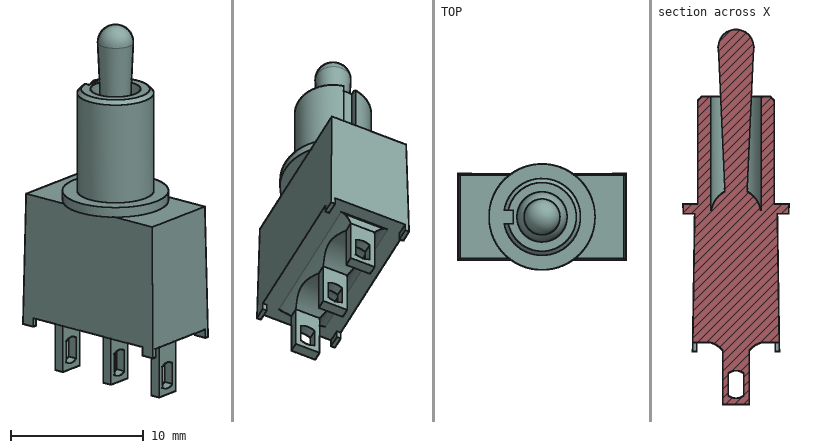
import cadquery as cq

overall_height = 28.25
foot_bottom = 3.98
floor_height = 4.65
body_top = 14.35
flange_top = 15.12
bushing_top = 23.2

body_length = 12.7
body_width = 6.55
body_top_length = 12.32
body_top_width = 6.25
foot_gap_length = 10.65
foot_gap_width = 5.88

flange_diameter = 8.0
bushing_diameter = 5.8
bushing_chamfer = 0.3
bore_diameter = 3.8
keyway_width = 1.02
keyway_floor_radius = 2.18

tip_radius = 1.35
stem_radius_at_rim = 1.2

terminal_pitch = 4.7
terminal_thickness = 0.75
terminal_width = 2.0
eyelet_width = 1.15
eyelet_length = 2.05
eyelet_end_rise = 0.2
eyelet_bottom = 0.48

resin_drop = 0.6
resin_drop_between = 0.2
resin_drop_at_end = 0.1
resin_half_width = 1.95
resin_hollow = 0.08

terminal_positions = [-terminal_pitch, 0, terminal_pitch]


def make_body():
    block = (
        cq.Workplane("XY", origin=(0, 0, foot_bottom))
        .rect(body_length, body_width)
        .workplane(offset=body_top - foot_bottom)
        .rect(body_top_length, body_top_width)
        .loft(ruled=True)
    )
    foot_height = floor_height - foot_bottom
    underside = cq.Workplane("XY", origin=(0, 0, foot_bottom))
    lengthwise_gap = underside.rect(body_length, foot_gap_width).extrude(foot_height)
    crosswise_gap = underside.rect(foot_gap_length, body_width).extrude(foot_height)
    return block.cut(lengthwise_gap).cut(crosswise_gap)


def make_bushing():
    flange = (
        cq.Workplane("XY", origin=(0, 0, body_top))
        .circle(flange_diameter / 2)
        .extrude(flange_top - body_top)
    )
    barrel = (
        cq.Workplane("XY", origin=(0, 0, flange_top))
        .circle(bushing_diameter / 2)
        .extrude(bushing_top - flange_top)
        .faces(">Z")
        .chamfer(bushing_chamfer)
    )
    keyway = (
        cq.Workplane("XY", origin=(-keyway_floor_radius, 0, flange_top))
        .rect(bushing_diameter, keyway_width)
        .extrude(bushing_top - flange_top)
        .translate((-bushing_diameter / 2, 0, 0))
    )
    bore = (
        cq.Workplane("XY", origin=(0, 0, body_top))
        .circle(bore_diameter / 2)
        .extrude(bushing_top - body_top)
    )
    return flange.union(barrel.cut(keyway)).cut(bore)


def make_lever():
    tip_center = overall_height - tip_radius
    taper = (tip_radius - stem_radius_at_rim) / (tip_center - bushing_top)
    stem_foot_radius = tip_radius - taper * (tip_center - body_top)
    stem = (
        cq.Workplane("XZ")
        .moveTo(0, body_top)
        .lineTo(stem_foot_radius, body_top)
        .lineTo(tip_radius, tip_center)
        .radiusArc((0, overall_height), -tip_radius)
        .close()
        .revolve(360, (0, 0), (0, 1))
    )
    dome_radius = bore_diameter / 2
    pivot_dome = (
        cq.Workplane("XZ")
        .moveTo(0, body_top)
        .lineTo(dome_radius, body_top)
        .radiusArc((0, body_top + dome_radius), -dome_radius)
        .close()
        .revolve(360, (0, 0), (0, 1))
    )
    return stem.union(pivot_dome)


def make_terminal(x):
    blade = (
        cq.Workplane("XY", origin=(x, 0, 0))
        .rect(terminal_thickness, terminal_width)
        .extrude(floor_height)
    )
    side = eyelet_width / 2
    eyelet_top = eyelet_bottom + eyelet_length
    eyelet = (
        cq.Workplane("YZ", origin=(x, 0, 0))
        .moveTo(-side, eyelet_bottom + eyelet_end_rise)
        .threePointArc((0, eyelet_bottom), (side, eyelet_bottom + eyelet_end_rise))
        .lineTo(side, eyelet_top - eyelet_end_rise)
        .threePointArc((0, eyelet_top), (-side, eyelet_top - eyelet_end_rise))
        .close()
        .extrude(terminal_thickness / 2, both=True)
    )
    return blade.cut(eyelet)


def make_resin():
    resin_bottom = floor_height - resin_drop
    end = foot_gap_length / 2
    half_thickness = terminal_thickness / 2

    outline = (
        cq.Workplane("XZ")
        .moveTo(-end, floor_height)
        .lineTo(-end, floor_height - resin_drop_at_end)
        .lineTo(terminal_positions[0] - half_thickness, resin_bottom)
    )
    for left, right in zip(terminal_positions, terminal_positions[1:]):
        crown = ((left + right) / 2, floor_height - resin_drop_between)
        outline = outline.lineTo(left + half_thickness, resin_bottom)
        outline = outline.threePointArc(crown, (right - half_thickness, resin_bottom))
    arches = (
        outline.lineTo(terminal_positions[-1] + half_thickness, resin_bottom)
        .lineTo(end, floor_height - resin_drop_at_end)
        .lineTo(end, floor_height)
        .close()
        .extrude(resin_half_width, both=True)
    )

    edge = terminal_width / 2
    flares = (
        cq.Workplane("YZ")
        .moveTo(-resin_half_width, floor_height)
        .sagittaArc((-edge, resin_bottom), resin_hollow)
        .lineTo(edge, resin_bottom)
        .sagittaArc((resin_half_width, floor_height), resin_hollow)
        .close()
        .extrude(end, both=True)
    )
    return arches.intersect(flares)


result = make_body().union(make_bushing()).union(make_lever()).union(make_resin())
for position in terminal_positions:
    result = result.union(make_terminal(position))